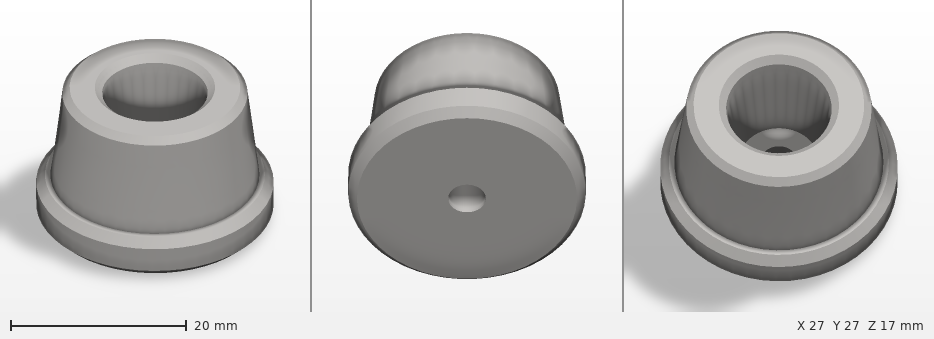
import cadquery as cq

base_diameter = 27.0
base_height = 5.0
base_chamfer = 1.0
screw_hole_diameter = 4.3

total_height = 17.0
sleeve_foot_diameter = 23.75
sleeve_shoulder_diameter = 21.05
sleeve_top_diameter = 19.39
shoulder_drop = 0.75

bore_mouth_diameter = 13.65
bore_neck_diameter = 12.0
bore_foot_diameter = 9.18
mouth_chamfer_depth = shoulder_drop


def make_base():
    """Chamfered disc with a central screw hole."""
    return (
        cq.Workplane("XY")
        .circle(base_diameter / 2)
        .extrude(base_height)
        .edges()
        .chamfer(base_chamfer)
        .faces(">Z")
        .workplane()
        .hole(screw_hole_diameter)
    )


def make_sleeve():
    """Ring that narrows upward outside and widens upward inside."""
    shoulder_z = total_height - shoulder_drop
    neck_z = total_height - mouth_chamfer_depth
    half_section = [
        (bore_foot_diameter / 2, base_height),
        (sleeve_foot_diameter / 2, base_height),
        (sleeve_shoulder_diameter / 2, shoulder_z),
        (sleeve_top_diameter / 2, total_height),
        (bore_mouth_diameter / 2, total_height),
        (bore_neck_diameter / 2, neck_z),
    ]
    return cq.Workplane("XZ").polyline(half_section).close().revolve(360, (0, 0), (0, 1))


base = make_base()
sleeve = make_sleeve()

result = cq.Compound.makeCompound([base.val(), sleeve.val()])